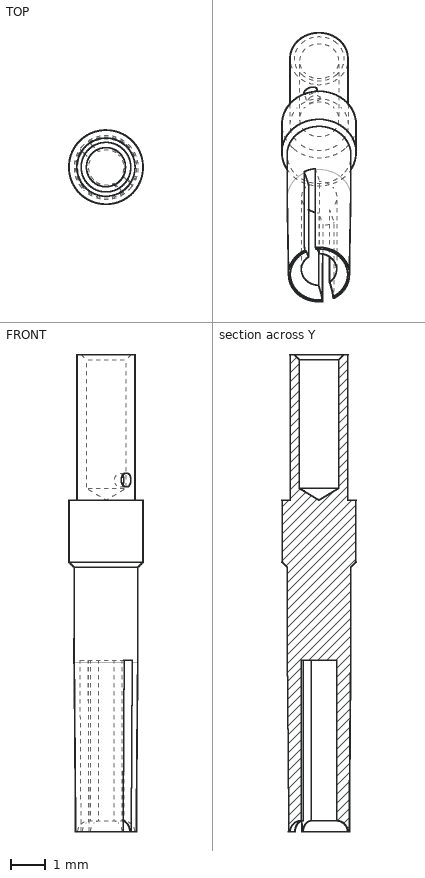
import cadquery as cq
import math

total_length = 13.69
collar_top = 9.51
collar_bottom = 7.73
taper_top = 4.86
slot_top = 4.91

barrel_radius = 0.84
collar_radius = 1.07
sleeve_radius = 0.92
tip_radius = 0.88
collar_chamfer = collar_radius - sleeve_radius

well_radius = 0.56
well_bottom = 9.85
well_chamfer = 0.15
drill_point_angle = 118.0
drill_point_depth = well_radius / math.tan(math.radians(drill_point_angle / 2))

inspection_diameter = 0.4
inspection_height = 10.09

socket_radius = 0.5
socket_lead_in = 0.31
slot_width = 0.33

cross_direction = cq.Vector(1, -1, 0)
cross_angle = -45.0


def make_body():
    """Stepped outer shape, revolved about Z."""
    profile = (
        cq.Workplane("XZ")
        .lineTo(tip_radius, 0)
        .lineTo(sleeve_radius, taper_top)
        .lineTo(sleeve_radius, collar_bottom - collar_chamfer)
        .lineTo(collar_radius, collar_bottom)
        .lineTo(collar_radius, collar_top)
        .lineTo(barrel_radius, collar_top)
        .lineTo(barrel_radius, total_length)
        .lineTo(0, total_length)
        .close()
    )
    return profile.revolve(360, (0, 0, 0), (0, 1, 0))


def make_wire_well():
    """Blind drilled hole with a conical bottom and a chamfered mouth."""
    profile = (
        cq.Workplane("XZ")
        .moveTo(0, well_bottom - drill_point_depth)
        .lineTo(well_radius, well_bottom)
        .lineTo(well_radius, total_length - well_chamfer)
        .lineTo(well_radius + well_chamfer, total_length)
        .lineTo(0, total_length)
        .close()
    )
    return profile.revolve(360, (0, 0, 0), (0, 1, 0))


def make_socket():
    """Blind bore as deep as the slot, with a rounded mouth."""
    profile = (
        cq.Workplane("XZ")
        .lineTo(socket_radius + socket_lead_in, 0)
        .radiusArc((socket_radius, socket_lead_in), -socket_lead_in)
        .lineTo(socket_radius, slot_top)
        .lineTo(0, slot_top)
        .close()
    )
    return profile.revolve(360, (0, 0, 0), (0, 1, 0))


def make_slot():
    """Slot across the whole tip that splits it into two spring fingers."""
    return (
        cq.Workplane("XY")
        .box(2 * collar_radius, slot_width, slot_top, centered=(True, True, False))
        .rotate((0, 0, 0), (0, 0, 1), cross_angle)
    )


def make_inspection_hole():
    """Radial hole from the axis outward through one side of the barrel."""
    start = cq.Vector(0, 0, inspection_height)
    hole = cq.Solid.makeCylinder(inspection_diameter / 2, collar_radius, start, cross_direction)
    return cq.Workplane(hole)


result = (
    make_body()
    .cut(make_wire_well())
    .cut(make_inspection_hole())
    .cut(make_socket())
    .cut(make_slot())
)